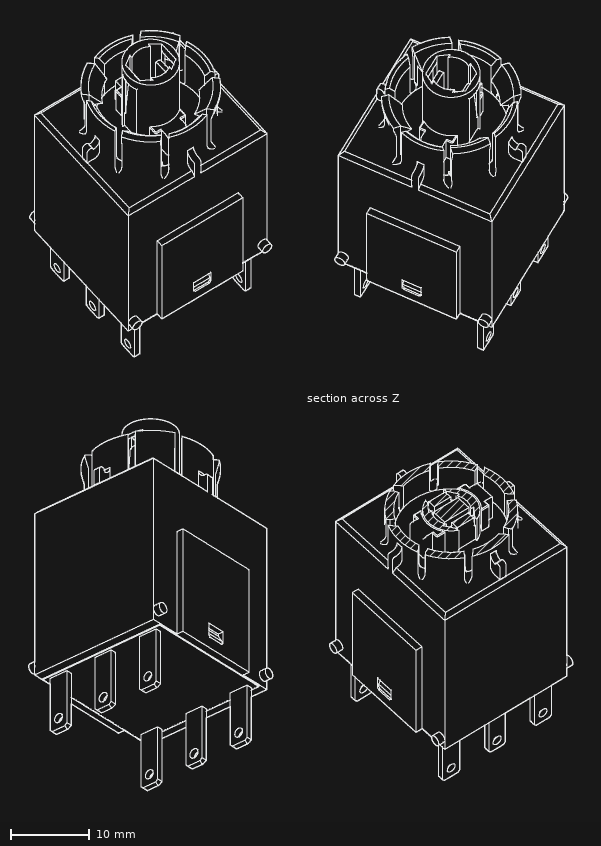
import cadquery as cq
body_x = 20.2
body_y = 22.2
body_top = 25.1
top_chamfer = 0.6
foot_x = 19.9
foot_y = 19.4
foot_height = 0.15

overall_x = 22.2
panel_width = 12.95
panel_height = 15.6
panel_thickness = (overall_x - body_x) / 2
latch_width = 2.77
latch_bottom = 1.65
latch_nose_top = 2.35
latch_slope_top = 3.37
latch_top = 3.7
latch_corner = 0.3
latch_nose_depth = 0.25
latch_back_depth = 0.85
pin_diameter = 1.5
pin_y = body_y / 2 - pin_diameter / 2
pin_z = 1.7

terminal_length = 8.5
terminal_pitch_x = 7.6
terminal_y = 8.88
terminal_thickness = 0.9
terminal_width = 2.85
terminal_hole = 1.3
lamp_terminal_width = 2.75
lamp_terminal_hole = 1.35
lamp_terminal_length = 8.4
terminal_hole_depth = 6.75
terminal_tip = 0.45
tip_thickness_cut = 0.15

collar_height = 7.5
collar_top = body_top + collar_height
collar_outer = 8.55
collar_bore = 14.7 / 2
rim_inner = 8.0
wall_cone_bottom = collar_top - 1.1
finger_cone_bottom = collar_top - 2.15
base_fillet = 0.92
finger_outer = 8.95
finger_lip = 0.45
hook_inner = 6.3
finger_taper_start = 7.65
slot_offset = 3.0
slot_width = 0.92
slot_start = 4.6

rib_width = 0.95
rib_start = collar_bore + 0.45
rib_shelf = 27.3
rib_top = 28.35
rib_x_end = body_x / 2
rib_x_corner = 0.35
rib_y_end = 10.55
rib_y_shoulder = 27.2
rib_y_bump = 0.5
rib_y_valley = 1.1

plunger_top = 37.72
plunger_radius = 3.7
bore_floor = 27.75
bore_flat_x = 1.53
bore_flat_y = 2.85
bore_corner_x = 2.5
bore_corner_y = 1.5
bore_radius = 2.5
window_width = 3.0
window_top = plunger_top - 1.55
contact_width = 2.75
contact_top = plunger_top - 2.6
contact_inner_y = 1.75
contact_outer_y = 2.4
contact_flat = 1.3
contact_shoulder = 1.05
contact_shoulder_drop = 0.3
core_y = 3.05
socket_x = 4.05
socket_y = 2.3
socket_top = 30.5

guide_top = 29.12
guide_bore_radius = 3.9
guide_x = 4.35
guide_y = 2.45
guide_arm_x = 5.75
guide_arm_y = 1.53
guide_arm_round = 0.55
guide_corner = 0.25
guide_edge = 0.15


def box(x_size, y_size, z_low, z_high, x=0.0, y=0.0):
    """Box centred on (x, y) between two heights."""
    block = cq.Workplane("XY", origin=(x, y, z_low)).rect(x_size, y_size)
    return block.extrude(z_high - z_low)


def cylinder(radius, z_low, z_high):
    """Cylinder on the Z axis between two heights."""
    return cq.Workplane("XY", origin=(0, 0, z_low)).circle(radius).extrude(z_high - z_low)


def make_housing():
    """Block with a chamfered top and a shallow foot below."""
    housing = box(body_x, body_y, 0, body_top).faces(">Z").chamfer(top_chamfer)
    return housing.union(box(foot_x, foot_y, -foot_height, 0))


def make_panel():
    """Panel on the -X face with a latch window holding a sloped catch."""
    face = -overall_x / 2
    panel = box(panel_thickness, panel_width, 0, panel_height, x=face + panel_thickness / 2)
    recess = (
        cq.Workplane("XZ")
        .polyline([
            (face, latch_bottom),
            (face + latch_nose_depth, latch_bottom),
            (face + latch_nose_depth, latch_nose_top),
            (face + latch_back_depth, latch_slope_top),
            (face + latch_back_depth, latch_top),
            (face, latch_top),
        ])
        .close()
        .extrude(latch_width / 2, both=True)
    )
    window = (
        cq.Workplane("YZ", origin=(face, 0, 0))
        .center(0, (latch_bottom + latch_top) / 2)
        .rect(latch_width, latch_top - latch_bottom)
        .extrude(panel_thickness)
        .edges("|X and <Z")
        .chamfer(latch_corner)
    )
    return panel.cut(recess.intersect(window))


def make_pins():
    """Two round bars along X whose ends stand out as locating pins."""
    return (
        cq.Workplane("YZ", origin=(-overall_x / 2, 0, 0))
        .pushPoints([(-pin_y, pin_z), (pin_y, pin_z)])
        .circle(pin_diameter / 2)
        .extrude(overall_x)
    )


def make_terminal(x, y, width, length, hole):
    """Flat blade with a tapered tip and a wire hole."""
    blade = box(width, terminal_thickness, -length, 0, x, y)
    blade = blade.faces("<Z").edges("|Y").chamfer(terminal_tip)
    blade = blade.faces("<Z").edges("|X").chamfer(terminal_tip, tip_thickness_cut)
    drill = (
        cq.Workplane("XZ", origin=(x, y, -terminal_hole_depth))
        .circle(hole / 2)
        .extrude(terminal_thickness, both=True)
    )
    return blade.cut(drill)


def make_collar():
    """Flared skirt and wall, with the wall replaced by hooked fingers on the diagonals.

    The sides of a finger are parallel outside and converge on the axis inside.
    """
    finger_foot = body_top + base_fillet
    wall = (
        cq.Workplane("XZ")
        .moveTo(collar_bore, body_top)
        .lineTo(collar_outer + base_fillet, body_top)
        .radiusArc((collar_outer, finger_foot), base_fillet)
        .lineTo(collar_outer, collar_top)
        .lineTo(rim_inner, collar_top)
        .lineTo(collar_bore, wall_cone_bottom)
        .close()
        .revolve(360, (0, 0, 0), (0, 1, 0))
    )
    finger_ring = (
        cq.Workplane("XZ")
        .polyline([
            (collar_bore, finger_foot),
            (collar_outer, finger_foot),
            (collar_outer, finger_cone_bottom),
            (finger_outer, collar_top - finger_lip),
            (finger_outer, collar_top),
            (rim_inner, collar_top),
            (hook_inner, finger_cone_bottom),
            (collar_bore, finger_cone_bottom),
        ])
        .close()
        .revolve(360, (0, 0, 0), (0, 1, 0))
    )
    opening = box(3 * finger_outer, 2 * slot_offset, finger_foot, collar_top)
    half_width = slot_offset - slot_width / 2
    finger_plan = (
        cq.Workplane("XY", origin=(0, 0, finger_foot))
        .polyline([
            (0, 0),
            (finger_taper_start, half_width),
            (1.5 * finger_outer, half_width),
            (1.5 * finger_outer, -half_width),
            (finger_taper_start, -half_width),
        ])
        .close()
        .extrude(collar_top - finger_foot)
    )
    finger = finger_ring.intersect(finger_plan)
    collar = wall
    for angle in (45, 135):
        collar = collar.cut(opening.rotate((0, 0, 0), (0, 0, 1), angle))
    for quarter in range(4):
        collar = collar.union(finger.rotate((0, 0, 0), (0, 0, 1), 45 + 90 * quarter))
    return collar


def make_slots():
    """Round-bottomed slots along both sides of each diagonal finger."""
    slot = (
        cq.Workplane("YZ", origin=(slot_start, 0, 0))
        .moveTo(-slot_width / 2, collar_top)
        .lineTo(-slot_width / 2, body_top + slot_width / 2)
        .threePointArc((0, body_top), (slot_width / 2, body_top + slot_width / 2))
        .lineTo(slot_width / 2, collar_top)
        .close()
        .extrude(collar_outer + base_fillet - slot_start)
    )
    slots = cq.Workplane("XY")
    for quarter in range(4):
        for side in (-1, 1):
            beside_finger = slot.translate((0, side * slot_offset, 0))
            slots = slots.add(beside_finger.rotate((0, 0, 0), (0, 0, 1), 45 + 90 * quarter))
    return slots.combine()


def make_rib_x():
    """Rib on the +X side, ending flush with the housing face."""
    foot = body_top - top_chamfer
    radius = rib_top - rib_shelf
    return (
        cq.Workplane("XZ")
        .moveTo(rib_start, foot)
        .lineTo(rib_x_end, foot)
        .lineTo(rib_x_end, rib_shelf - rib_x_corner)
        .radiusArc((rib_x_end - rib_x_corner, rib_shelf), -rib_x_corner)
        .lineTo(collar_outer + radius, rib_shelf)
        .radiusArc((collar_outer, rib_top), radius)
        .lineTo(rib_start, rib_top)
        .close()
        .extrude(rib_width / 2, both=True)
    )


def make_rib_y():
    """Rib on the +Y side, ending in a rounded bump."""
    bump_y = rib_y_end - rib_y_bump
    return (
        cq.Workplane("YZ")
        .moveTo(rib_start, body_top)
        .lineTo(rib_y_end, body_top)
        .lineTo(rib_y_end, rib_y_shoulder)
        .threePointArc((bump_y, rib_y_shoulder + rib_y_bump), (bump_y - rib_y_bump, rib_y_shoulder))
        .radiusArc((collar_outer, rib_top), rib_y_valley)
        .lineTo(rib_start, rib_top)
        .close()
        .extrude(rib_width / 2, both=True)
    )


def make_guide():
    """Cross-shaped boss whose arms reach out along X, bored to clear the plunger."""
    plan = box(2 * guide_arm_x, 2 * guide_arm_y, body_top, guide_top)
    plan = plan.edges("|Z").fillet(guide_corner)
    arms = box(2 * guide_arm_x, 2 * guide_arm_y, body_top, guide_top)
    arms = arms.faces(">Z").edges("|Y").fillet(guide_arm_round).intersect(plan)
    middle = box(2 * guide_x, 2 * guide_y, body_top, guide_top)
    middle = middle.edges("|Z").fillet(guide_corner).faces(">Z").chamfer(guide_edge)
    return middle.union(arms).cut(cylinder(guide_bore_radius, body_top, guide_top))


def make_contact():
    """Lamp contact on the +Y side of the plunger bore: rounded shoulders, sloped outer face."""
    half_width = contact_width / 2
    blank = (
        cq.Workplane("XZ")
        .moveTo(-half_width, bore_floor)
        .lineTo(-half_width, contact_top - contact_shoulder_drop)
        .radiusArc((-contact_flat / 2, contact_top), contact_shoulder)
        .lineTo(contact_flat / 2, contact_top)
        .radiusArc((half_width, contact_top - contact_shoulder_drop), contact_shoulder)
        .lineTo(half_width, bore_floor)
        .close()
        .extrude(-plunger_radius)
    )
    side = (
        cq.Workplane("YZ")
        .polyline([
            (contact_inner_y, bore_floor),
            (core_y, bore_floor),
            (contact_outer_y, contact_top),
            (contact_inner_y, contact_top),
        ])
        .close()
        .extrude(half_width, both=True)
    )
    return blank.intersect(side)


def make_plunger():
    """Tube with a shaped bore, two side windows, lamp contacts and a lamp socket."""
    flats = (
        cq.Workplane("XY", origin=(0, 0, bore_floor))
        .polyline([
            (-bore_corner_x, bore_corner_y),
            (-bore_flat_x, bore_flat_y),
            (bore_flat_x, bore_flat_y),
            (bore_corner_x, bore_corner_y),
        ])
        .close()
        .extrude(plunger_top - bore_floor)
    )
    middle = cylinder(bore_radius, bore_floor, plunger_top)
    middle = middle.intersect(box(2 * bore_radius, 2 * bore_corner_y, bore_floor, plunger_top))
    bore = middle.union(flats).union(flats.mirror("XZ"))
    window = box(window_width, 2 * plunger_radius, body_top, window_top)
    core = box(window_width, 2 * core_y, body_top, bore_floor)
    contact = make_contact()
    socket = box(socket_x, socket_y, bore_floor, socket_top)
    plunger = cylinder(plunger_radius, body_top, plunger_top).cut(bore).cut(window).union(core)
    return plunger.union(contact).union(contact.mirror("XZ")).union(socket)


panel = make_panel()
rib_x = make_rib_x()
rib_y = make_rib_y()

result = make_housing().union(make_pins())
result = result.union(panel).union(panel.mirror("YZ"))
result = result.union(make_collar()).cut(make_slots())
result = result.union(rib_x).union(rib_x.mirror("YZ"))
result = result.union(rib_y).union(rib_y.mirror("XZ"))
result = result.union(make_guide()).union(make_plunger())
for row_y in (-terminal_y, terminal_y):
    for column_x in (-terminal_pitch_x, terminal_pitch_x):
        blade = make_terminal(column_x, row_y, terminal_width, terminal_length, terminal_hole)
        result = result.union(blade)
    lamp_blade = make_terminal(0, row_y, lamp_terminal_width, lamp_terminal_length, lamp_terminal_hole)
    result = result.union(lamp_blade)